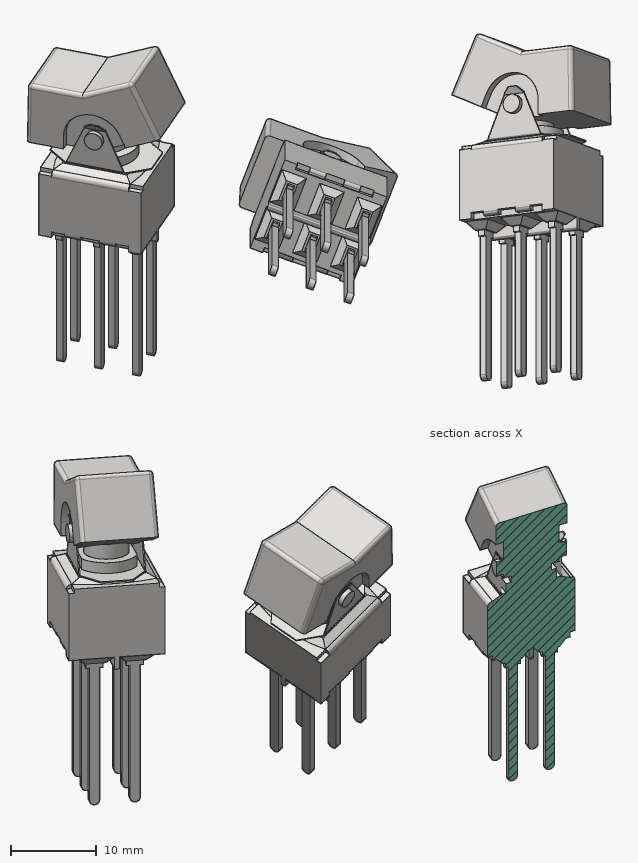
import cadquery as cq
import math


CASE_LENGTH = 12.7
CASE_WIDTH = 11.43
CASE_HEIGHT = 8.89
FRAME_LENGTH = 9.52
FRAME_THICKNESS = 0.65
FRAME_BOTTOM = 0.74
LEDGE_DROP = 0.52
INNER_WIDTH = CASE_WIDTH - 2 * FRAME_THICKNESS

TAB_LENGTH = 2.02
TAB_OFFSET = 2.15
TAB_BOTTOM = 0.22
TAB_ROUND = 0.4

PAD_HEIGHT = 0.5
PAD_BOW = 0.75
PAD_SLOPE_ANGLE = 64
PAD_TOP = CASE_HEIGHT + PAD_HEIGHT

SHEET = 0.15
BRACKET_LENGTH = 12.56
BRACKET_END_WIDTH = 3.8
EAR_OUTER_Y = 3.98
EAR_BASE_WIDTH = 7.3
EAR_TOP_WIDTH = 2.68
EAR_TOP = 14.68
EAR_BEND_RADIUS = 0.25
LIP_HEIGHT = 0.8
LIP_END_WIDTH = 1.1
LIP_SHOULDER_DROP = 0.1
LIP_LEAN_ANGLE = 30

BUSHING_DIAMETER = 7.6
BUSHING_WIDTH = 6.6
BUSHING_TOP = 10.87
STEM_DIAMETER = 5.3
STEM_TOP = 12.72

PIVOT_Z = 13.43
PIVOT_DIAMETER = 2.2
PIVOT_LENGTH = 9.2
ROCKER_WIDTH = 9.3
ROCKER_REACH = 8.265
ROCKER_ABOVE_PIVOT = 6.14
ROCKER_BELOW_PIVOT = 1.7
ROCKER_BEND_ANGLE = 25
ROCKER_DRAFT_ANGLE = 1
ROCKER_ROUND = 0.5
ARCH_RADIUS = 3.65
ARCH_DEPTH = 1.0

PIN_PITCH_X = 4.7
PIN_PITCH_Y = 4.82
PIN_THICKNESS = 0.8
PIN_WIDTH = 1.24
PIN_TIP = -18.7
SHOULDER_WIDTH = 2.02
SHOULDER_BOTTOM = -1.62
SEAL_LENGTH = 3.06
SEAL_WIDTH = 4.18
SEAL_HEIGHT = 0.93
SEAL_SLOPE_ANGLE = 42

BARRIER_THICKNESS = 0.65
BARRIER_DEPTH = 1.48
BARRIER_ROUND = 0.22


def block(length, width, bottom, top, x=0, y=0):
    """Upright block centred at (x, y) between two heights."""
    base = cq.Workplane("XY", origin=(x, y, bottom))
    return base.box(length, width, top - bottom, centered=(True, True, False))


def make_case():
    end_blocks = block(CASE_LENGTH, CASE_WIDTH, 0, CASE_HEIGHT - LEDGE_DROP)
    end_blocks = end_blocks.cut(block(FRAME_LENGTH, CASE_WIDTH, 0, CASE_HEIGHT))
    core = block(CASE_LENGTH, INNER_WIDTH, 0, CASE_HEIGHT)
    frame = block(FRAME_LENGTH, CASE_WIDTH, FRAME_BOTTOM, CASE_HEIGHT)
    frame = frame.edges("|X and >Z").fillet(FRAME_THICKNESS)
    case = core.union(end_blocks).union(frame)
    for x in (-TAB_OFFSET, TAB_OFFSET):
        tabs = block(TAB_LENGTH, CASE_WIDTH, TAB_BOTTOM, FRAME_BOTTOM, x)
        case = case.union(tabs.edges("|X and <Z").fillet(TAB_ROUND))
    return case


def make_pad():
    half_length = FRAME_LENGTH / 2
    half_width = INNER_WIDTH / 2
    bow_x = half_length + PAD_BOW
    return (
        cq.Workplane("XY", origin=(0, 0, CASE_HEIGHT))
        .moveTo(-half_length, -half_width)
        .lineTo(half_length, -half_width)
        .threePointArc((bow_x, 0), (half_length, half_width))
        .lineTo(-half_length, half_width)
        .threePointArc((-bow_x, 0), (-half_length, -half_width))
        .close()
        .extrude(PAD_HEIGHT, taper=PAD_SLOPE_ANGLE)
    )


def make_lip():
    """Lip that leans outward from the top of the front ear, its root sunk into the ear."""
    lean = math.radians(LIP_LEAN_ANGLE)
    lip_length = LIP_HEIGHT / math.cos(lean)
    root_depth = SHEET * math.tan(lean)
    return (
        cq.Workplane("XZ")
        .polyline([
            (-EAR_TOP_WIDTH / 2, -root_depth),
            (EAR_TOP_WIDTH / 2, -root_depth),
            (EAR_TOP_WIDTH / 2, LIP_SHOULDER_DROP),
            (LIP_END_WIDTH / 2, lip_length),
            (-LIP_END_WIDTH / 2, lip_length),
            (-EAR_TOP_WIDTH / 2, LIP_SHOULDER_DROP),
        ])
        .close()
        .extrude(-SHEET)
        .rotate((0, 0, 0), (1, 0, 0), LIP_LEAN_ANGLE)
        .translate((0, -EAR_OUTER_Y, EAR_TOP))
    )


def make_bracket():
    sheet_blank = (
        cq.Workplane("XY", origin=(0, 0, PAD_TOP))
        .polyline([
            (-BRACKET_LENGTH / 2, -BRACKET_END_WIDTH / 2),
            (-EAR_BASE_WIDTH / 2, -EAR_OUTER_Y),
            (EAR_BASE_WIDTH / 2, -EAR_OUTER_Y),
            (BRACKET_LENGTH / 2, -BRACKET_END_WIDTH / 2),
            (BRACKET_LENGTH / 2, BRACKET_END_WIDTH / 2),
            (EAR_BASE_WIDTH / 2, EAR_OUTER_Y),
            (-EAR_BASE_WIDTH / 2, EAR_OUTER_Y),
            (-BRACKET_LENGTH / 2, BRACKET_END_WIDTH / 2),
        ])
        .close()
        .extrude(SHEET)
    )
    ear = (
        cq.Workplane("XZ", origin=(0, -EAR_OUTER_Y, 0))
        .polyline([
            (-EAR_BASE_WIDTH / 2, PAD_TOP),
            (EAR_BASE_WIDTH / 2, PAD_TOP),
            (EAR_TOP_WIDTH / 2, EAR_TOP),
            (-EAR_TOP_WIDTH / 2, EAR_TOP),
        ])
        .close()
        .extrude(-SHEET)
    )
    bracket = sheet_blank.union(ear).union(ear.mirror("XZ"))
    bracket = bracket.edges("|X and <Z and (<Y or >Y)").fillet(EAR_BEND_RADIUS)
    lip = make_lip()
    return bracket.union(lip).union(lip.mirror("XZ"))


def make_stem():
    bushing = (
        cq.Workplane("XY", origin=(0, 0, PAD_TOP))
        .circle(BUSHING_DIAMETER / 2)
        .extrude(BUSHING_TOP - PAD_TOP)
        .intersect(block(BUSHING_DIAMETER, BUSHING_WIDTH, PAD_TOP, BUSHING_TOP))
    )
    stem = (
        cq.Workplane("XY", origin=(0, 0, PAD_TOP))
        .circle(STEM_DIAMETER / 2)
        .extrude(STEM_TOP - PAD_TOP)
    )
    return bushing.union(stem)


def mirrored_across_bend(x, z):
    """Mirror a point, relative to the pivot, across the rocker's leaning middle plane."""
    bend = math.radians(ROCKER_BEND_ANGLE)
    return (
        -x * math.cos(bend) - z * math.sin(bend),
        -x * math.sin(bend) + z * math.cos(bend),
    )


def on_bend(z):
    """Point of the leaning middle plane at height z above the pivot."""
    return (-z * math.tan(math.radians(ROCKER_BEND_ANGLE / 2)), z)


def make_rocker():
    rocker_height = ROCKER_ABOVE_PIVOT + ROCKER_BELOW_PIVOT
    draft = rocker_height * math.tan(math.radians(ROCKER_DRAFT_ANGLE))
    low_end = (-ROCKER_REACH, -ROCKER_BELOW_PIVOT)
    high_end = (draft - ROCKER_REACH, ROCKER_ABOVE_PIVOT)
    rocker = (
        cq.Workplane("XZ")
        .polyline([
            on_bend(-ROCKER_BELOW_PIVOT),
            low_end,
            high_end,
            on_bend(ROCKER_ABOVE_PIVOT),
            mirrored_across_bend(*high_end),
            mirrored_across_bend(*low_end),
        ])
        .close()
        .extrude(ROCKER_WIDTH / 2, both=True)
    )
    top_outline = [low_end, high_end, on_bend(ROCKER_ABOVE_PIVOT)]
    top_outline += [mirrored_across_bend(*high_end), mirrored_across_bend(*low_end)]
    edge_points = [(x, 0, z) for x, z in (high_end, mirrored_across_bend(*high_end))]
    for (start_x, start_z), (end_x, end_z) in zip(top_outline, top_outline[1:]):
        for y in (-ROCKER_WIDTH / 2, ROCKER_WIDTH / 2):
            edge_points.append(((start_x + end_x) / 2, y, (start_z + end_z) / 2))
    rounded_edges = rocker.newObject([])
    for point in edge_points:
        rounded_edges = rounded_edges.add(rocker.edges(cq.selectors.NearestToPointSelector(point)))
    rocker = rounded_edges.fillet(ROCKER_ROUND)

    arch_end = (-ARCH_RADIUS, -ROCKER_BELOW_PIVOT)
    arch = (
        cq.Workplane("XZ", origin=(0, ROCKER_WIDTH / 2, 0))
        .moveTo(*arch_end)
        .lineTo(-ARCH_RADIUS, 0)
        .threePointArc((0, ARCH_RADIUS), mirrored_across_bend(-ARCH_RADIUS, 0))
        .lineTo(*mirrored_across_bend(*arch_end))
        .lineTo(*on_bend(-ROCKER_BELOW_PIVOT))
        .close()
        .extrude(ARCH_DEPTH)
    )
    rocker = rocker.cut(arch).cut(arch.mirror("XZ"))
    pivot = cq.Workplane("XZ").circle(PIVOT_DIAMETER / 2).extrude(PIVOT_LENGTH / 2, both=True)
    return rocker.union(pivot).translate((0, 0, PIVOT_Z))


def make_terminal(x, y):
    seal = (
        cq.Workplane("XY", origin=(x, y, 0))
        .rect(SEAL_LENGTH, SEAL_WIDTH)
        .extrude(-SEAL_HEIGHT, taper=SEAL_SLOPE_ANGLE)
    )
    shoulder = block(PIN_THICKNESS, SHOULDER_WIDTH, SHOULDER_BOTTOM, 0, x, y)
    tip_radius = PIN_WIDTH / 2
    tip_center = PIN_TIP + tip_radius
    pin = (
        cq.Workplane("YZ", origin=(x, y, 0))
        .moveTo(-tip_radius, 0)
        .lineTo(-tip_radius, tip_center)
        .threePointArc((0, PIN_TIP), (tip_radius, tip_center))
        .lineTo(tip_radius, 0)
        .close()
        .extrude(PIN_THICKNESS / 2, both=True)
    )
    return seal.union(shoulder).union(pin)


def make_barrier():
    barrier = block(CASE_LENGTH, BARRIER_THICKNESS, -BARRIER_DEPTH, 0)
    return barrier.edges("|X and <Z").fillet(BARRIER_ROUND)


def make_switch():
    switch = make_case().union(make_pad()).union(make_bracket())
    switch = switch.union(make_stem()).union(make_rocker()).union(make_barrier())
    for column in (-1, 0, 1):
        for side in (-1, 1):
            switch = switch.union(make_terminal(column * PIN_PITCH_X, side * PIN_PITCH_Y / 2))
    return switch


result = make_switch()